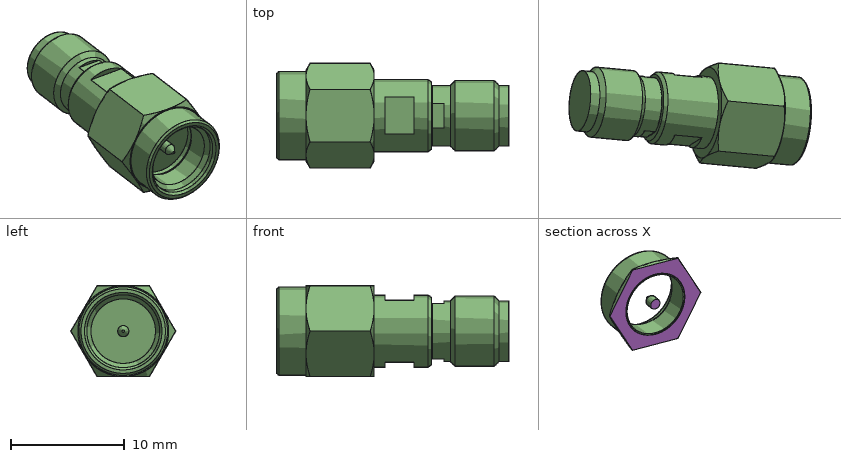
import cadquery as cq
import math

length = 20.4
cutter_size = 12.25

collar_radius = 3.9
collar_chamfer = 0.18
hex_start = 2.57
hex_end = 8.57
hex_across_flats = 8.0
hex_across_corners = hex_across_flats / math.cos(math.radians(30))
hex_chamfer_angle = 30.0

mouth_radius = 3.4
mouth_chamfer = 0.2
relief_radius = mouth_radius - mouth_chamfer
relief_end = 0.61
bore_radius = 2.84
bore_start = relief_end + relief_radius - bore_radius
bore_end = 3.53
groove_start = 2.98
groove_end = 3.04
groove_radius = 2.95

pin_radius = 0.49
pin_tip_radius = 0.1
pin_tip = 1.6
pin_cone_length = 0.61

body_radius = 3.18
body_end = 13.63
body_chamfer_length = 0.3
body_chamfer_depth = 0.25
body_flat_start = 9.53
body_flat_end = 12.05
body_flat_height = 2.73
shoulder_groove_length = 0.06
shoulder_groove_radius = 2.45
neck_start = body_end + shoulder_groove_length
neck_radius = 2.67
neck_flat_end = 14.69
neck_flat_height = 2.45

thread_radius = 3.1
thread_start = 15.25
thread_chamfer = thread_radius - neck_radius
thread_end = 19.55


def revolve_about_x(points):
    """Turn a closed (x, radius) outline about the X axis."""
    return cq.Workplane("XY").polyline(points).close().revolve(360, (0, 0, 0), (1, 0, 0))


def make_turned_body():
    return revolve_about_x([
        (0, 0),
        (0, collar_radius - collar_chamfer),
        (collar_chamfer, collar_radius),
        (hex_end, collar_radius),
        (hex_end, body_radius),
        (body_end - body_chamfer_length, body_radius),
        (body_end, body_radius - body_chamfer_depth),
        (body_end, shoulder_groove_radius),
        (neck_start, shoulder_groove_radius),
        (neck_start, neck_radius),
        (thread_start, neck_radius),
        (thread_start + thread_chamfer, thread_radius),
        (thread_end - thread_chamfer, thread_radius),
        (thread_end, neck_radius),
        (length, neck_radius),
        (length, 0),
    ])


def make_hex_nut():
    """Hexagon with corners on +Y and -Y, both ends turned down to the inscribed circle."""
    prism = (
        cq.Workplane("YZ", origin=(hex_start, 0, 0))
        .polygon(6, hex_across_corners)
        .extrude(hex_end - hex_start)
    )
    face_radius = hex_across_flats / 2
    corner_radius = hex_across_corners / 2
    chamfer_length = (corner_radius - face_radius) * math.tan(math.radians(hex_chamfer_angle))
    envelope = revolve_about_x([
        (hex_start, 0),
        (hex_start, face_radius),
        (hex_start + chamfer_length, corner_radius),
        (hex_end - chamfer_length, corner_radius),
        (hex_end, face_radius),
        (hex_end, 0),
    ])
    return prism.intersect(envelope)


def make_socket():
    return revolve_about_x([
        (0, 0),
        (0, mouth_radius),
        (mouth_chamfer, relief_radius),
        (relief_end, relief_radius),
        (bore_start, bore_radius),
        (groove_start, bore_radius),
        (groove_start, groove_radius),
        (groove_end, groove_radius),
        (groove_end, bore_radius),
        (bore_end, bore_radius),
        (bore_end, 0),
    ])


def make_pin():
    return revolve_about_x([
        (pin_tip, 0),
        (pin_tip, pin_tip_radius),
        (pin_tip + pin_cone_length, pin_radius),
        (bore_end, pin_radius),
        (bore_end, 0),
    ])


def cut_flats(part, start, end, height):
    """Mill a pair of flats on the top and bottom, each at the given height from the axis."""
    for side in (1, -1):
        cutter = cq.Workplane("XY").box(end - start, cutter_size, cutter_size).translate(
            ((start + end) / 2, 0, side * (height + cutter_size / 2))
        )
        part = part.cut(cutter)
    return part


adapter = make_turned_body().union(make_hex_nut())
adapter = cut_flats(adapter, body_flat_start, body_flat_end, body_flat_height)
adapter = cut_flats(adapter, neck_start, neck_flat_end, neck_flat_height)
result = adapter.cut(make_socket()).union(make_pin())